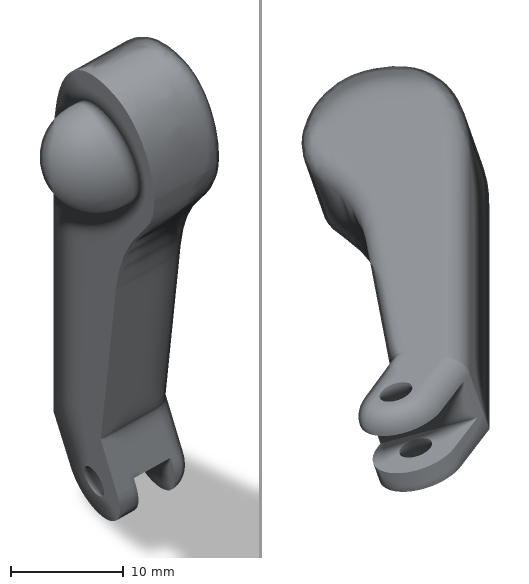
import cadquery as cq
import math

length = 63.5
head_width = 15.5
thickness = 8.0
back_round = thickness / 4

pivot_radius = 4.0
pivot_x = 6.2
pivot_z = pivot_radius
pin_diameter = 3.05
heel_z = 7.4
notch_x = 7.25
notch_z = 11.1

front_cheek = thickness / 4
slot_height = 6.4
slot_width = thickness - front_cheek - back_round

neck_x = 9.6
neck_z = 35.55
head_start = (13.3, 47.5)
widest_z = 54.7
crown_x = 9.3
head_foot_z = 46.85

start_handle = 3.05
widest_lower_handle = 2.85
widest_upper_handle = 3.95
crown_right_handle = 4.1
crown_left_handle = 6.7
foot_handle = 9.7

button_x = 8.25
button_z = 54.3
button_radius = 5.0
button_height = 6.2
button_rim = button_height - button_radius


def pivot_tangent_point(x, z, side):
    """Where the line from (x, z) touches the pivot round; side is 1 for +X and -1 for -X."""
    reach = math.hypot(x - pivot_x, z - pivot_z)
    toward = math.atan2(z - pivot_z, x - pivot_x)
    angle = toward - side * math.acos(pivot_radius / reach)
    return (pivot_x + pivot_radius * math.cos(angle), pivot_z + pivot_radius * math.sin(angle))


def lever_body():
    edge_lean = math.atan2(neck_x - notch_x, neck_z - notch_z)
    chord_lean = math.atan2(head_start[0] - neck_x, head_start[1] - neck_z)
    head_lean = 2 * chord_lean - edge_lean

    widest = (head_width, widest_z)
    crown = (crown_x, length)
    head_foot = (0, head_foot_z)
    lower_curve = [
        head_start,
        (
            head_start[0] + start_handle * math.sin(head_lean),
            head_start[1] + start_handle * math.cos(head_lean),
        ),
        (head_width, widest_z - widest_lower_handle),
        widest,
    ]
    right_curve = [
        widest,
        (head_width, widest_z + widest_upper_handle),
        (crown_x + crown_right_handle, length),
        crown,
    ]
    left_curve = [
        crown,
        (crown_x - crown_left_handle, length),
        (0, head_foot_z + foot_handle),
        head_foot,
    ]
    outline = (
        cq.Workplane("XZ")
        .moveTo(0, heel_z)
        .lineTo(*pivot_tangent_point(0, heel_z, -1))
        .threePointArc((pivot_x, 0), pivot_tangent_point(notch_x, notch_z, 1))
        .lineTo(notch_x, notch_z)
        .lineTo(neck_x, neck_z)
        .tangentArcPoint(head_start, relative=False)
        .bezier(lower_curve)
        .bezier(right_curve)
        .bezier(left_curve)
        .close()
    )
    return outline.extrude(-thickness).faces(">Y").edges().fillet(back_round)


def fork_slot():
    """Block that opens the gap between the cheeks, across the full width."""
    block = cq.Workplane("XY").box(head_width, slot_width, slot_height, centered=False)
    return block.translate((0, front_cheek, 0))


def pin_hole():
    return cq.Workplane("XZ").center(pivot_x, pivot_z).circle(pin_diameter / 2).extrude(-thickness)


def domed_button():
    """Short cylinder with a hemispherical end, turned about the button axis."""
    profile = (
        cq.Workplane("XY")
        .lineTo(button_radius, 0)
        .lineTo(button_radius, -button_rim)
        .radiusArc((0, -button_height), button_radius)
        .close()
    )
    return profile.revolve(360, (0, 0), (0, 1)).translate((button_x, 0, button_z))


result = lever_body().cut(fork_slot()).cut(pin_hole()).union(domed_button())